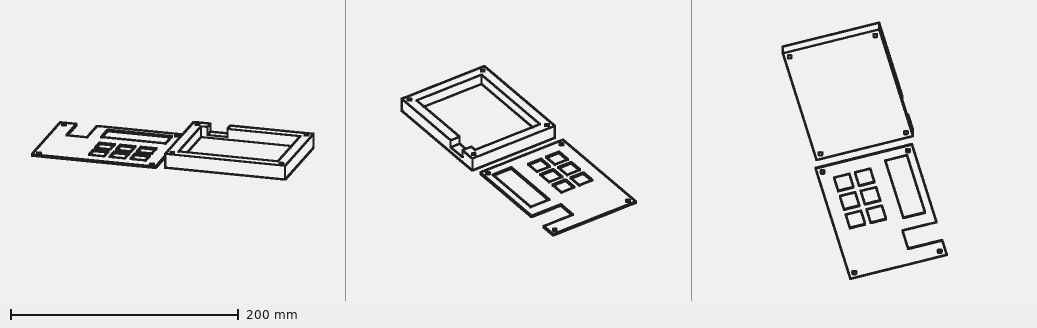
import cadquery as cq

case_length = 110.0
case_width = 88.0
case_height = 13.0
cavity_length = 91
cavity_width = 69.0
floor_thickness = 3.0
cable_slot_width = 18.2
cable_slot_depth = 7.5
cable_slot_left_offset = 15.4

screw_hole_diameter = 3.4
screw_hole_inset = 5.0

plate_length = 113.6
plate_width = 88.0
plate_thickness = 1.5
total_length = 231.45
plate_back_shift = 3.12
plate_left = case_length / 2 - total_length
plate_center_x = plate_left + plate_length / 2
plate_center_y = -plate_back_shift

notch_width = 18.9
notch_depth = 31.1
notch_left_offset = 14.8
window_length = 59.2
window_width = 19.8
window_left_offset = 45.4
window_back_offset = 7.1
key_size = 14.0
key_pitch = 19.05
key_columns = 3
key_rows = 2
keys_left_offset = 48.4
keys_back_offset = 41.8


def block(left, back, bottom, length, width, height):
    """Box given by its left, back and bottom sides."""
    box = cq.Workplane("XY").box(length, width, height, centered=False)
    return box.translate((left, back - width, bottom))


def drill_screw_holes(body, length, width):
    """Through holes at the four corners of a body centred on the origin."""
    return (
        body.faces(">Z")
        .workplane(origin=(0, 0, 0))
        .rect(length - 2 * screw_hole_inset, width - 2 * screw_hole_inset, forConstruction=True)
        .vertices()
        .hole(screw_hole_diameter)
    )


def make_case():
    left = -case_length / 2
    back = case_width / 2
    cavity_back = cavity_width / 2
    body = block(left, back, 0, case_length, case_width, case_height)
    cavity = block(
        -cavity_length / 2, cavity_back, floor_thickness,
        cavity_length, cavity_width, case_height - floor_thickness,
    )
    cable_slot = block(
        left + cable_slot_left_offset, back, case_height - cable_slot_depth,
        cable_slot_width, back - cavity_back, cable_slot_depth,
    )
    return drill_screw_holes(body.cut(cavity).cut(cable_slot), case_length, case_width)


def make_plate():
    left = -plate_length / 2
    back = plate_width / 2

    def cutout(left_offset, back_offset, length, width):
        return block(left + left_offset, back - back_offset, 0, length, width, plate_thickness)

    body = block(left, back, 0, plate_length, plate_width, plate_thickness)
    body = body.cut(cutout(notch_left_offset, 0, notch_width, notch_depth))
    body = body.cut(cutout(window_left_offset, window_back_offset, window_length, window_width))
    for column in range(key_columns):
        for row in range(key_rows):
            key_left = keys_left_offset + column * key_pitch
            key_back = keys_back_offset + row * key_pitch
            body = body.cut(cutout(key_left, key_back, key_size, key_size))
    body = drill_screw_holes(body, plate_length, plate_width)
    return body.translate((plate_center_x, plate_center_y, 0))


case = make_case()
plate = make_plate()
result = cq.Compound.makeCompound([case.val(), plate.val()])